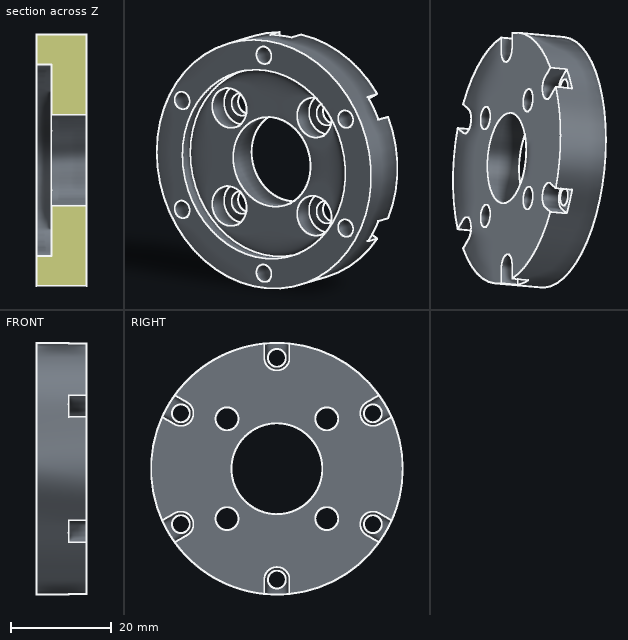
import cadquery as cq

outer_diameter = 50.0
thickness = 10.0
bore_diameter = 18.0

recess_diameter = 38.0
recess_depth = 3.0

inner_hole_count = 4
inner_hole_circle = 28.0
inner_hole_diameter = 4.5
counterbore_diameter = 8.0
counterbore_depth = 4.5

rim_hole_count = 6
rim_hole_circle = 44.0
rim_hole_diameter = 3.5
slot_width = 5.0
slot_depth = 3.6


def round_cut(diameter, start, depth):
    """Cylinder on the ring axis, running along +X from start."""
    return cq.Workplane("YZ", origin=(start, 0, 0)).circle(diameter / 2).extrude(depth)


def hole_pattern(diameter, circle, count, first_angle, start, depth):
    """Cylinders evenly spaced on a circle around the ring axis."""
    return (
        cq.Workplane("YZ", origin=(start, 0, 0))
        .polarArray(circle / 2, first_angle, 360, count)
        .circle(diameter / 2)
        .extrude(depth)
    )


def rim_slot(angle):
    """Round-ended slot around a rim hole, open through the outer edge."""
    hole_radius = rim_hole_circle / 2
    length = outer_diameter / 2
    slot_floor = thickness - slot_depth
    plane = cq.Workplane("YZ", origin=(slot_floor, 0, 0))
    seat = plane.center(0, hole_radius).circle(slot_width / 2).extrude(slot_depth)
    channel = (
        plane.center(0, hole_radius + length / 2)
        .rect(slot_width, length)
        .extrude(slot_depth)
    )
    return seat.union(channel).rotate((0, 0, 0), (1, 0, 0), angle)


result = round_cut(outer_diameter, 0, thickness)
result = result.cut(round_cut(bore_diameter, 0, thickness))
result = result.cut(round_cut(recess_diameter, 0, recess_depth))

result = result.cut(
    hole_pattern(inner_hole_diameter, inner_hole_circle, inner_hole_count, 45, 0, thickness)
)
result = result.cut(
    hole_pattern(
        counterbore_diameter, inner_hole_circle, inner_hole_count, 45, recess_depth, counterbore_depth
    )
)

result = result.cut(
    hole_pattern(rim_hole_diameter, rim_hole_circle, rim_hole_count, 90, 0, thickness)
)
for index in range(rim_hole_count):
    result = result.cut(rim_slot(index * 360 / rim_hole_count))